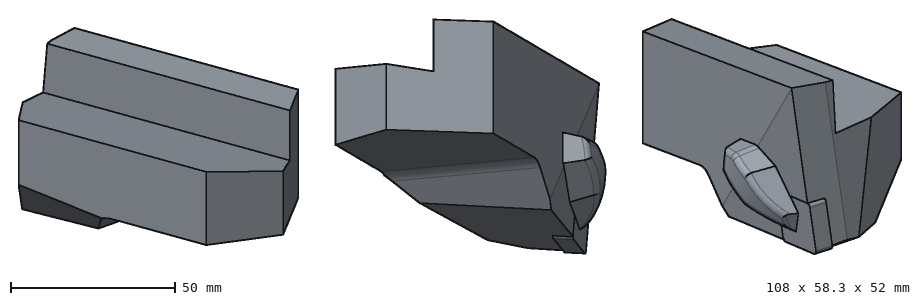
import cadquery as cq
import math


LENGTH = 108.0
HEIGHT = 52.0
BACK_Y = 50.1
SHANK_BOTTOM_Z = 17.0

FAR_POINT_Y = 21.6
FAR_FRONT_X = 95.4
FAR_BACK_X = 91.4

STEP_WALL_Y = 34.1
STEP_INNER_Z = 35.8
STEP_FRONT_Z = 40.7

RUNOUT_TOP_X = 55.1
RUNOUT_ANGLE = 45.0
RUNOUT_RADIUS = 7.0

RAKE_SLOPE_X = 0.12
RAKE_SLOPE_Z = 0.108
RAKE_TOP_CORNER = cq.Vector(4.4, BACK_Y, HEIGHT)

INSERT_EDGE = 16.1
INSERT_THICKNESS = 6.4
INSERT_NOSE_ANGLE = 80.0
INSERT_CORNER_RADIUS = 1.2
TIP_OFFSET = -0.1

CLAMP_TOP_Y = 58.3
CLAMP_FOOT_Y = 43.2
CLAMP_DRAFT = 15.0
CLAMP_SHOULDER = 2
CLAMP_SHOULDER_RADIUS = 4.3
CLAMP_EDGE_RADIUS = 2.2
CLAMP_OUTLINE = [
    (6.2, 11.9),
    (15.2, 26.0),
    (24.1, 31.9),
    (36.1, 31.9),
    (36.1, 19.4),
    (23.8, 9.7),
    (8.6, 4.8),
]
CROWN_RADIUS = 30.2
CROWN_PEAK = 34.0

INSIDE = cq.Vector(54, 27, 27)
END_TOP_FRONT = cq.Vector(5.6, 37.5, HEIGHT)
END_BOTTOM_FRONT = cq.Vector(2.3, 31.6, 2.7)
NOSE_BOTTOM = cq.Vector(3.7, 26.1, 2.7)
FACET_TOP_BACK = cq.Vector(9.2, 18.7, 38.0)
FACET_TOP_FRONT = cq.Vector(22.5, 0, STEP_FRONT_Z)
FACET_BOTTOM_FRONT = cq.Vector(22.5, 0, 19.8)
FACET_BOTTOM_BACK = cq.Vector(10.9, 16.3, 4.4)
BEVEL_FAR_CORNER = cq.Vector(46.7, 8.3, 8.7)
CORNER_BEVEL_LOW = cq.Vector(1.9, 37.8, 1.3)


def trim(body, a, b, c):
    """Cut away everything beyond the plane through a, b and c."""
    normal = (b - a).cross(c - a)
    if normal.dot(INSIDE - a) > 0:
        normal = -normal
    reach = 3 * LENGTH
    waste = cq.Workplane(cq.Plane(a, normal=normal)).rect(reach, reach).extrude(reach)
    return body.cut(waste)


def rake_y(x, z):
    """Y of the cutting face at a given x and z."""
    return (
        RAKE_TOP_CORNER.y
        + RAKE_SLOPE_X * (x - RAKE_TOP_CORNER.x)
        + RAKE_SLOPE_Z * (z - RAKE_TOP_CORNER.z)
    )


def rake_point(x, z):
    return cq.Vector(x, rake_y(x, z), z)


def make_blank():
    """Full-height block with the pointed far end."""
    outline = [
        (0, 0),
        (FAR_FRONT_X, 0),
        (LENGTH, FAR_POINT_Y),
        (FAR_BACK_X, BACK_Y),
        (0, BACK_Y),
    ]
    return cq.Workplane("XY").polyline(outline).close().extrude(HEIGHT)


def make_step():
    """Material removed above the sloping tread."""
    profile = [
        (0, STEP_FRONT_Z),
        (STEP_WALL_Y, STEP_INNER_Z),
        (STEP_WALL_Y, HEIGHT),
        (0, HEIGHT),
    ]
    return cq.Workplane("YZ").polyline(profile).close().extrude(LENGTH)


def make_underside():
    """Material removed below the shank, with the rounded run-out to the head."""
    ramp = math.radians(RUNOUT_ANGLE)
    tangent = RUNOUT_RADIUS * math.tan(ramp / 2)
    arc_start_x = RUNOUT_TOP_X - tangent * math.cos(ramp)
    arc_start_z = SHANK_BOTTOM_Z - tangent * math.sin(ramp)
    arc_end_x = RUNOUT_TOP_X + tangent
    arc_mid_x = arc_end_x - RUNOUT_RADIUS * math.sin(ramp / 2)
    arc_mid_z = SHANK_BOTTOM_Z - RUNOUT_RADIUS * (1 - math.cos(ramp / 2))
    return (
        cq.Workplane("XZ")
        .moveTo(RUNOUT_TOP_X - SHANK_BOTTOM_Z / math.tan(ramp), 0)
        .lineTo(arc_start_x, arc_start_z)
        .threePointArc((arc_mid_x, arc_mid_z), (arc_end_x, SHANK_BOTTOM_Z))
        .lineTo(LENGTH, SHANK_BOTTOM_Z)
        .lineTo(LENGTH, 0)
        .close()
        .extrude(-BACK_Y)
    )


def make_clamp():
    """Drafted finger with a domed top that bears on the insert."""
    axis_plane = cq.Plane((0, 0, 0), xDir=(1, 0, 1), normal=(-1, 0, 1))
    crown = (
        cq.Workplane(axis_plane)
        .center(CROWN_PEAK, CLAMP_TOP_Y - CROWN_RADIUS)
        .circle(CROWN_RADIUS)
        .extrude(LENGTH, both=True)
    )
    shoulder_x, shoulder_z = CLAMP_OUTLINE[CLAMP_SHOULDER]
    shoulder = (shoulder_x, (CLAMP_FOOT_Y + CLAMP_TOP_Y) / 2, shoulder_z)
    finger = (
        cq.Workplane("XZ", origin=(0, CLAMP_FOOT_Y, 0))
        .polyline(CLAMP_OUTLINE)
        .close()
        .extrude(CLAMP_FOOT_Y - CLAMP_TOP_Y, taper=CLAMP_DRAFT)
        .edges(cq.selectors.NearestToPointSelector(shoulder))
        .fillet(CLAMP_SHOULDER_RADIUS)
        .intersect(crown)
    )
    return finger.faces("%CYLINDER").edges().fillet(CLAMP_EDGE_RADIUS)


def make_insert():
    """Rhombic plate with its cutting face on the rake plane."""
    plane = cq.Plane(
        rake_point(TIP_OFFSET, TIP_OFFSET),
        xDir=(1, RAKE_SLOPE_X, 0),
        normal=(RAKE_SLOPE_X, -1, RAKE_SLOPE_Z),
    )
    edge_lead = (90 - INSERT_NOSE_ANGLE) / 2
    along = INSERT_EDGE * math.cos(math.radians(edge_lead))
    rise = INSERT_EDGE * math.sin(math.radians(edge_lead))
    rhombus = [(0, 0), (along, rise), (along + rise, along + rise), (rise, along)]
    plate = cq.Workplane(plane).polyline(rhombus).close().extrude(INSERT_THICKNESS)
    corners = cq.selectors.ParallelDirSelector(plane.zDir)
    return plate.edges(corners).fillet(INSERT_CORNER_RADIUS)


def make_holder(insert):
    body = make_blank().cut(make_step()).cut(make_underside())
    body = trim(body, RAKE_TOP_CORNER, rake_point(0, 0), rake_point(LENGTH, 0))
    body = trim(body, RAKE_TOP_CORNER, END_TOP_FRONT, END_BOTTOM_FRONT)
    body = trim(body, END_TOP_FRONT, END_BOTTOM_FRONT, FACET_TOP_BACK)
    body = trim(body, FACET_TOP_FRONT, FACET_BOTTOM_FRONT, FACET_BOTTOM_BACK)
    body = trim(body, NOSE_BOTTOM, FACET_BOTTOM_BACK, BEVEL_FAR_CORNER)
    body = trim(body, FACET_BOTTOM_FRONT, FACET_BOTTOM_BACK, BEVEL_FAR_CORNER)
    body = trim(body, END_BOTTOM_FRONT, NOSE_BOTTOM, CORNER_BEVEL_LOW)
    return body.union(make_clamp()).cut(insert)


insert = make_insert()
holder = make_holder(insert)
result = cq.Compound.makeCompound([holder.val(), insert.val()])